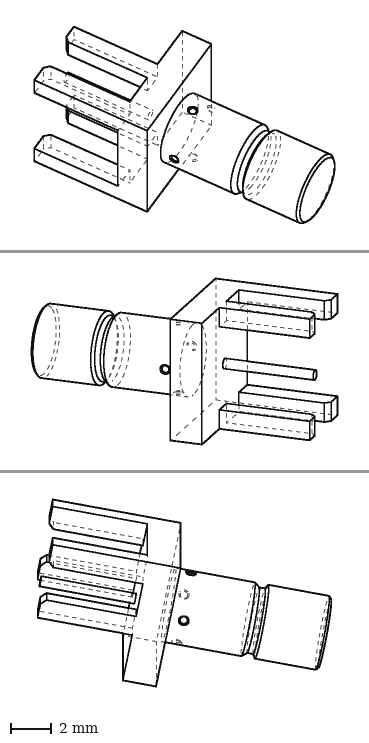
import cadquery as cq

total_length = 14.26
flange_side = 6.35
flange_thickness = 1.67
leg_length = 4.75
flange_front = leg_length + flange_thickness

leg_height = 1.0
inner_leg_width = 1.0
inner_leg_max_y = 0.74
outer_leg_width = 1.17
leg_chamfer = 0.25

pin_diameter = 0.51

barrel_radius = 3.71 / 2
groove_radius = 3.3 / 2
groove_start = 10.41
groove_lead_in = 0.25
groove_floor_width = 0.3
groove_lead_out = 0.13
mouth_chamfer = 0.13

dimple_count = 4
dimple_x = 7.19
dimple_radius = 0.51 / 2
dimple_floor_radius = 0.37 / 2
dimple_depth = dimple_radius - dimple_floor_radius


def make_flange():
    return cq.Workplane("YZ", origin=(leg_length, 0, 0)).rect(flange_side, flange_side).extrude(flange_thickness)


def make_leg(min_y, max_y, min_z, chamfered_y):
    """Square leg with one tip corner cut, on the side facing the slot between legs."""
    width = max_y - min_y
    leg = cq.Workplane("XY").box(leg_length, width, leg_height, centered=False)
    leg = leg.translate((0, min_y, min_z))
    corner = cq.selectors.NearestToPointSelector((0, chamfered_y, min_z + leg_height / 2))
    return leg.edges("|Z").edges(corner).chamfer(leg_chamfer)


def make_barrel():
    """Solid of revolution from the flange face to the mouth."""
    floor_start = groove_start + groove_lead_in
    floor_end = floor_start + groove_floor_width
    profile = [
        (flange_front, 0),
        (flange_front, barrel_radius),
        (groove_start, barrel_radius),
        (floor_start, groove_radius),
        (floor_end, groove_radius),
        (floor_end + groove_lead_out, barrel_radius),
        (total_length - mouth_chamfer, barrel_radius),
        (total_length, barrel_radius - mouth_chamfer),
        (total_length, 0),
    ]
    return cq.Workplane("XY").polyline(profile).close().revolve(360, (0, 0, 0), (1, 0, 0))


def make_dimple(angle):
    """Cone frustum that narrows toward the barrel axis."""
    floor_z = barrel_radius - dimple_depth
    cone = cq.Solid.makeCone(
        dimple_floor_radius,
        dimple_radius,
        dimple_depth,
        pnt=cq.Vector(dimple_x, 0, floor_z),
        dir=cq.Vector(0, 0, 1),
    )
    return cq.Workplane(cone).rotate((0, 0, 0), (1, 0, 0), angle)


result = make_flange().union(make_barrel())

half_side = flange_side / 2
inner_leg_min_y = inner_leg_max_y - inner_leg_width
outer_leg_max_y = outer_leg_width - half_side
for row_min_z in (-half_side, half_side - leg_height):
    result = result.union(make_leg(inner_leg_min_y, inner_leg_max_y, row_min_z, inner_leg_min_y))
    result = result.union(make_leg(-half_side, outer_leg_max_y, row_min_z, outer_leg_max_y))

result = result.union(cq.Workplane("YZ").circle(pin_diameter / 2).extrude(flange_front))

for index in range(dimple_count):
    result = result.cut(make_dimple(index * 360 / dimple_count))